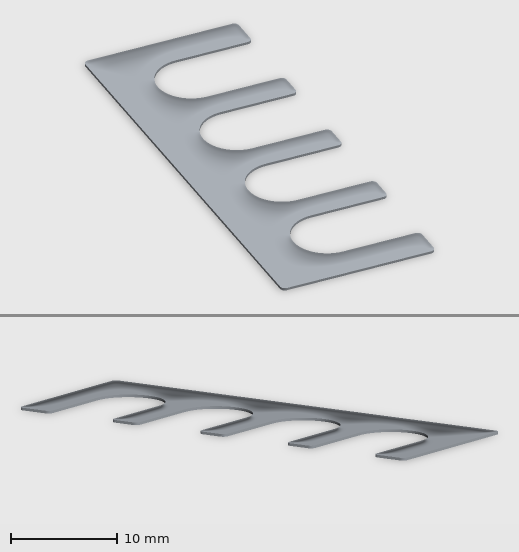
import cadquery as cq

length = 44.0
width = 16.0
thickness = 0.25
slot_count = 4
slot_pitch = 10.0
slot_width = 7.0
spine_width = 4.5
corner_radius = 0.5

slot_radius = slot_width / 2
slot_arc_y = -width / 2 + spine_width + slot_radius
slot_straight = width / 2 - slot_arc_y


def slot_cutter(x):
    """Round-bottomed slot centred on x and open at the +Y edge."""
    round_end = cq.Workplane("XY").center(x, slot_arc_y).circle(slot_radius).extrude(thickness)
    straight_part = (
        cq.Workplane("XY")
        .center(x, slot_arc_y + slot_straight / 2)
        .rect(slot_width, slot_straight)
        .extrude(thickness)
    )
    return round_end.union(straight_part)


plate = cq.Workplane("XY").rect(length, width).extrude(thickness)
for index in range(slot_count):
    plate = plate.cut(slot_cutter((index - (slot_count - 1) / 2) * slot_pitch))

tip_edges = plate.faces(">Y").edges("|Z")
spine_edges = plate.faces("<Y").edges("|Z")
result = plate.newObject(tip_edges.vals() + spine_edges.vals()).fillet(corner_radius)